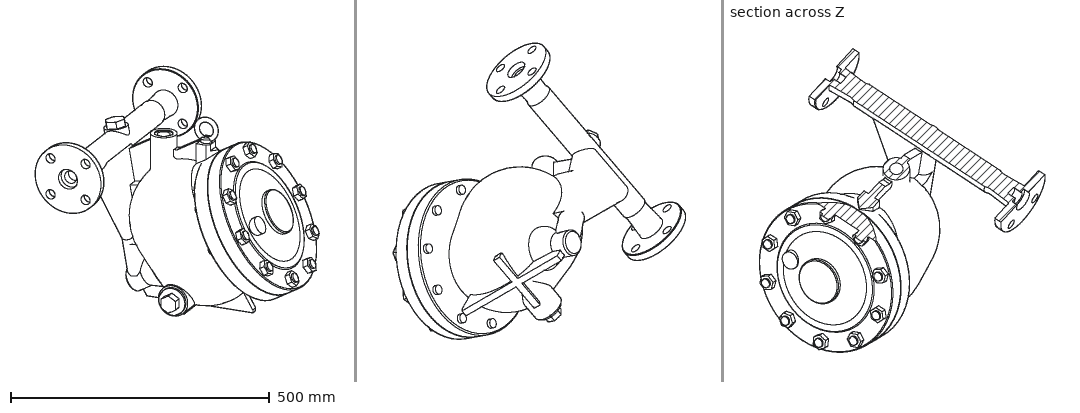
import cadquery as cq
import math


pipe_d = 52.0
pipe_half_length = 160.0
end_to_end = 470.0
pipe_flange_d = 140.0
pipe_flange_thickness = 16.0
pipe_flange_chamfer = 1.5
flange_bolt_circle = 105.0
flange_bolt_count = 4
first_hole_angle = 45.0
flange_bolt_hole_d = 19.0
socket_d = 40.0
socket_depth = 12.0
bore_d = 25.0
bore_depth = 30.0
weld_small_d = 47.5
weld_large_d = 53.0
weld_lip_d = 54.0
weld_lip_length = 4.0
weld_step_d = 50.0
weld_step_length = 6.0
weld_step_taper = 3.0

axis_tilt = 30.0
axis_origin = cq.Vector(180.6, 0, -186.3)
lower_height = 2.0
lower_offset = 9.5
lower_radius = 112.5
upper_radius = 121.0
center_distance = 67.3
body_lean = 2.5
neck_start = 45.0
neck_radius = 93.6
neck_stretch = 61.0
cover_d = 305.0
body_flange_start = 94.5
cover_seam = 128.3
cover_face = 160.2
cover_edge_chamfer = 2.0
body_flange_chamfer = 3.0
neck_fillet = 12.0
seam_groove = 0.8
tolerance = 0.1
raised_ring_r = 111.0
raised_ring_height = 2.5
dome_r = 95.0
dome_height = 20.0
center_boss_d = 90.0
center_boss_top = 187.0
center_boss_chamfer = 2.0
side_boss_d = 35.0
side_boss_y = -75.0
side_boss_top = 178.5

cover_bolt_count = 10
cover_bolt_circle = 265.0
stud_d = 18.0
stud_end_front = 14.54
stud_end_back = 7.0
nut_across_flats = 27.0
nut_height = 11.0

drop_tilt = 10.0
drop_d = 49.0
drop_length = 270.0
plug_boss_length = 28.0
plug_boss_d = 48.0
plug_flats = 36.0
plug_length = 42.0
plug_chamfer = 1.5
elbow_start = -179.0
elbow_d = 50.0
elbow_chamfer = 3.5
flare_start = -142.0
flare_end = -100.0
flare_end_d = 90.0
arm_width = 104.0
arm_top = 9.0
arm_bottom = 196.0
arm_edge_radius = 21.0

port_x = 96.4
port_d = 52.0
port_top = 29.2
port_recess_d = 36.0
port_recess_depth = 2.0
port_bore_depth = 60.0
port_root = -80.0
port_fillet = 6.0

rib_thickness = 16.0
rib_root = -90.0
right_rib_low = 2.0
right_rib_foot = 128.0
pad_top = 82.0
pad_bottom = 205.0
pad_shoulder = 30.0
pad_reach = 60.0
pad_width = 62.0
lug_x = 174.0
lug_length = 27.0
lug_width = 38.0
lug_top = 26.0
lug_root = -60.0
lug_corner = 6.5
lug_tip_drop = 13.0
eye_x = 187.0
eye_ring_radius = 20.0
eye_wire_d = 10.0
eye_center_z = 51.0
eye_collar_d = 22.0
eye_collar_height = 10.0
eye_collar_chamfer = 3.0

drain_x = 163.6
drain_z = -271.0
drain_d = 62.5
drain_end = 104.7
drain_ring_d = 55.0
drain_ring_end = 110.0
drain_plug_flats = 31.0
drain_plug_end = 127.0
foot_bottom = -310.0
foot_left = 63.5
foot_right = 288.5
foot_web = 14.0
foot_cross_half = 68.3
foot_cross_half_top = 62.5
foot_cross_height = 22.0
foot_inside_height = 60.0
foot_right_edge = 6.0
foot_right_set_in = 32.0
foot_left_set_in = 50.0
foot_left_edge = 14.0
foot_left_overhang = 8.0


def vector_at(angle):
    """Unit vector in the XZ plane, raised by an angle from +X."""
    return cq.Vector(math.cos(math.radians(angle)), 0, math.sin(math.radians(angle)))


axis_dir = vector_at(axis_tilt)
down_dir = vector_at(axis_tilt - 90)
back_face = cq.selectors.DirectionMinMaxSelector(axis_dir, False)
lower_center = axis_origin + axis_dir * lower_height + down_dir * lower_offset


def body_plane(distance):
    """Plane across the body axis: local X points down the cover, local Y is +Y."""
    return cq.Workplane(cq.Plane(axis_origin + axis_dir * distance, down_dir, axis_dir))


def rod(diameter, start, direction, length):
    return cq.Workplane(cq.Solid.makeCylinder(diameter / 2, length, start, direction))


def xz_slab(points, thickness):
    """Plate of an XZ outline, centred on the Y = 0 plane."""
    return cq.Workplane("XZ").polyline(points).close().extrude(thickness / 2, both=True)


def hexagon_d(across_flats):
    return across_flats / math.cos(math.radians(30))


def make_body():
    """Two spheres joined by the cone that is tangent to both."""
    lean_angle = axis_tilt + 90 - body_lean
    cone_angle = math.asin((upper_radius - lower_radius) / center_distance)

    def on_sphere(radius, height, angle):
        return (radius * math.cos(angle), height + radius * math.sin(angle))

    quarter = math.pi / 4
    return (
        cq.Workplane(cq.Plane(lower_center, vector_at(lean_angle - 90), (0, -1, 0)))
        .moveTo(0, -lower_radius)
        .threePointArc(
            on_sphere(lower_radius, 0, -quarter),
            on_sphere(lower_radius, 0, -cone_angle),
        )
        .lineTo(*on_sphere(upper_radius, center_distance, -cone_angle))
        .threePointArc(
            on_sphere(upper_radius, center_distance, quarter),
            (0, center_distance + upper_radius),
        )
        .close()
        .revolve(360, (0, 0, 0), (0, 1, 0))
    )


def make_neck_and_flange():
    """Body flange, and the slot-shaped neck that joins it to the stretched body."""
    flange = body_plane(body_flange_start).circle(cover_d / 2).extrude(cover_seam - body_flange_start)
    flange = flange.faces(back_face).edges().chamfer(body_flange_chamfer)
    neck = (
        body_plane(neck_start)
        .center(-neck_stretch / 2, 0)
        .slot2D(neck_stretch + 2 * neck_radius, 2 * neck_radius)
        .extrude(cover_seam - neck_start)
    )
    envelope = body_plane(neck_start).circle(cover_d / 2).extrude(cover_seam - neck_start)
    joined = flange.union(neck.intersect(envelope))

    def is_neck_root(edge):
        height = (edge.Center() - axis_origin).dot(axis_dir)
        on_rim = edge.geomType() == "CIRCLE" and edge.radius() > neck_radius + tolerance
        return abs(height - body_flange_start) < tolerance and not on_rim

    return joined.newObject([e for e in joined.edges().vals() if is_neck_root(e)]).fillet(neck_fillet)


def make_cover():
    """Turned cover: rim, raised ring, domed middle and flat centre boss, plus a small side boss."""
    rim_r = cover_d / 2
    boss_r = center_boss_d / 2
    ring_top = cover_face + raised_ring_height
    dome_sphere_r = (dome_r ** 2 + dome_height ** 2) / (2 * dome_height)

    def dome_point(radius):
        drop = dome_sphere_r - math.sqrt(dome_sphere_r ** 2 - radius ** 2)
        return (radius, ring_top + dome_height - drop)

    cover = (
        cq.Workplane(cq.Plane(axis_origin, down_dir, (0, -1, 0)))
        .moveTo(0, cover_seam)
        .lineTo(rim_r - seam_groove, cover_seam)
        .lineTo(rim_r - seam_groove, cover_seam + seam_groove)
        .lineTo(rim_r, cover_seam + seam_groove)
        .lineTo(rim_r, cover_face - cover_edge_chamfer)
        .lineTo(rim_r - cover_edge_chamfer, cover_face)
        .lineTo(raised_ring_r, cover_face)
        .lineTo(raised_ring_r - raised_ring_height, ring_top)
        .lineTo(dome_r, ring_top)
        .threePointArc(dome_point((dome_r + boss_r) / 2), dome_point(boss_r))
        .lineTo(boss_r, center_boss_top - center_boss_chamfer)
        .lineTo(boss_r - center_boss_chamfer, center_boss_top)
        .lineTo(0, center_boss_top)
        .close()
        .revolve(360, (0, 0, 0), (0, 1, 0))
    )
    side_boss = body_plane(cover_face).center(0, side_boss_y).circle(side_boss_d / 2)
    return cover.union(side_boss.extrude(side_boss_top - cover_face))


def make_cover_bolts():
    first = 180 / cover_bolt_count
    studs_start = body_flange_start - stud_end_back
    studs_length = cover_face + stud_end_front - studs_start
    radius = cover_bolt_circle / 2
    studs = body_plane(studs_start).polarArray(radius, first, 360, cover_bolt_count)
    studs = studs.circle(stud_d / 2).extrude(studs_length)
    nuts = body_plane(cover_face).polarArray(radius, first, 360, cover_bolt_count)
    nuts = nuts.polygon(6, hexagon_d(nut_across_flats)).extrude(nut_height)
    return studs.union(nuts)


def make_pipe_end():
    """Flange and weld neck at the -Y end, revolved about the pipe axis."""
    end = end_to_end / 2
    flange_back = end - pipe_flange_thickness
    neck_wide = flange_back - weld_lip_length
    step_end = pipe_half_length + weld_step_taper
    neck_narrow = step_end + weld_step_length
    profile = [
        (0, -end),
        (pipe_flange_d / 2, -end),
        (pipe_flange_d / 2, -flange_back - pipe_flange_chamfer),
        (pipe_flange_d / 2 - pipe_flange_chamfer, -flange_back),
        (weld_lip_d / 2, -flange_back),
        (weld_large_d / 2, -neck_wide),
        (weld_small_d / 2, -neck_narrow),
        (weld_step_d / 2, -step_end),
        (pipe_d / 2, -pipe_half_length),
        (0, -pipe_half_length),
    ]
    pipe_end = cq.Workplane("XY").polyline(profile).close().revolve(360, (0, 0, 0), (0, 1, 0))
    face = cq.Workplane("XZ", origin=(0, -end, 0))
    holes = face.polarArray(flange_bolt_circle / 2, first_hole_angle, 360, flange_bolt_count)
    holes = holes.circle(flange_bolt_hole_d / 2).extrude(-pipe_flange_thickness)
    socket = face.circle(socket_d / 2).extrude(-socket_depth)
    bore = face.circle(bore_d / 2).extrude(-bore_depth)
    return pipe_end.cut(holes).cut(socket).cut(bore)


def make_horizontal_pipe():
    pipe = cq.Workplane("XZ").circle(pipe_d / 2).extrude(pipe_half_length, both=True)
    pipe_end = make_pipe_end()
    return pipe.union(pipe_end).union(pipe_end.mirror("XZ"))


def drop_plane(distance):
    """Plane across the drop pipe axis; local Y is +Y, positive distance is up."""
    up = vector_at(90 + drop_tilt)
    return cq.Workplane(cq.Plane(up * distance, vector_at(drop_tilt), up))


def make_drop_pipe():
    pipe = drop_plane(-drop_length).circle(drop_d / 2).extrude(drop_length)
    boss = drop_plane(0).circle(plug_boss_d / 2).extrude(plug_boss_length)
    plug = drop_plane(0).polygon(6, hexagon_d(plug_flats)).extrude(plug_length)
    cap = drop_plane(0).circle(hexagon_d(plug_flats) / 2).extrude(plug_length)
    cap = cap.faces(">Z").edges().chamfer(plug_chamfer)
    return pipe.union(boss).union(plug.intersect(cap))


def make_gusset_arm():
    """Thick triangular arm between the drop pipe and the -Y half of the pipe."""
    front_face = cq.Plane(vector_at(drop_tilt) * (-drop_d / 2), (0, 1, 0), -vector_at(drop_tilt))
    slope_angle = math.atan2(arm_width, arm_bottom - arm_top)
    overhang = arm_edge_radius / math.cos(slope_angle)
    top_corner = (-arm_width - overhang, arm_top)
    bottom_corner = (-overhang, arm_bottom)
    outline = [(0, arm_top), top_corner, bottom_corner, (0, arm_bottom)]
    arm = cq.Workplane(front_face).polyline(outline).close().extrude(-drop_d)
    slope = front_face.toWorldCoords(bottom_corner) - front_face.toWorldCoords(top_corner)
    return arm.edges(cq.selectors.ParallelDirSelector(slope)).fillet(arm_edge_radius)


def make_elbow():
    start = axis_origin + axis_dir * elbow_start + down_dir * lower_offset
    pipe = rod(elbow_d, start, axis_dir, -elbow_start)
    pipe = pipe.faces("<X").edges().chamfer(elbow_chamfer)
    flare_length = flare_end - flare_start
    flare_base = start + axis_dir * (flare_start - elbow_start)
    flare = cq.Solid.makeCone(elbow_d / 2, flare_end_d / 2, flare_length, flare_base, axis_dir)
    return pipe.union(cq.Workplane(flare))


def add_port(body):
    """Join the upright port to the body with a rounded root."""
    port = cq.Workplane("XY", origin=(port_x, 0, port_root)).circle(port_d / 2)
    joined = body.union(port.extrude(port_top - port_root))
    root_edges = cq.selectors.BoxSelector(
        (port_x - port_d / 2, -port_d / 2, port_root),
        (port_x + port_d / 2, port_d / 2, port_top - tolerance),
    )
    return joined.edges(root_edges).edges("not(#Z or |Z)").fillet(port_fillet)


def port_cut():
    top = cq.Workplane("XY", origin=(port_x, 0, port_top))
    recess = top.circle(port_recess_d / 2).extrude(-port_recess_depth)
    return recess.union(top.circle(bore_d / 2).extrude(-port_bore_depth))


def make_ribs():
    rise = math.tan(math.radians(axis_tilt))
    left_rib = xz_slab(
        [
            (0, port_top - port_x * rise),
            (port_x, port_top),
            (port_x, rib_root),
            (0, rib_root),
        ],
        rib_thickness,
    )
    right_rib = xz_slab(
        [
            (port_x, right_rib_low),
            (right_rib_foot, right_rib_low),
            (lug_x, right_rib_low + (lug_x - right_rib_foot) * rise),
            (lug_x, rib_root),
            (port_x, rib_root),
        ],
        rib_thickness,
    )
    return left_rib.union(right_rib)


def make_drop_pad():
    """Wide pad that ties the drop pipe to the body."""
    plan = [
        (0, -drop_d / 2),
        (pad_shoulder, -pad_width / 2),
        (pad_reach, -pad_width / 2),
        (pad_reach, pad_width / 2),
        (pad_shoulder, pad_width / 2),
        (0, drop_d / 2),
    ]
    return drop_plane(-pad_bottom).polyline(plan).close().extrude(pad_bottom - pad_top)


def make_lug():
    end = lug_x + lug_length
    half = lug_width / 2
    plan = [
        (lug_x, -half),
        (end - lug_corner, -half),
        (end, lug_corner - half),
        (end, half - lug_corner),
        (end - lug_corner, half),
        (lug_x, half),
    ]
    base = cq.Workplane("XY", origin=(0, 0, lug_root))
    block = base.polyline(plan).close().extrude(lug_top - lug_root)
    point = [(end, lug_corner - half), (end + half - lug_corner, 0), (end, half - lug_corner)]
    tip = base.polyline(point).close().extrude(lug_top - lug_tip_drop - lug_root)
    return block.union(tip)


def make_eye_bolt():
    ring = cq.Solid.makeTorus(
        eye_ring_radius, eye_wire_d / 2, cq.Vector(eye_x, 0, eye_center_z), cq.Vector(0, 1, 0)
    )
    collar = cq.Workplane("XY", origin=(eye_x, 0, lug_top)).circle(eye_collar_d / 2)
    collar = collar.extrude(eye_collar_height).faces(">Z").edges().chamfer(eye_collar_chamfer)
    return collar.union(cq.Workplane(ring))


def make_drain():
    side = cq.Workplane("XZ", origin=(drain_x, 0, drain_z))
    boss = side.circle(drain_d / 2).extrude(drain_end)
    ring = side.circle(drain_ring_d / 2).extrude(drain_ring_end)
    plug = side.transformed(rotate=(0, 0, 90)).polygon(6, hexagon_d(drain_plug_flats))
    plug = plug.extrude(drain_plug_end)
    return boss.union(ring).union(plug)


def make_foot():
    web = xz_slab(
        [
            (foot_left, foot_bottom),
            (foot_right, foot_bottom),
            (foot_right, foot_bottom + foot_right_edge),
            (foot_right - foot_right_set_in, foot_bottom + foot_inside_height),
            (foot_left + foot_left_set_in, foot_bottom + foot_inside_height),
            (foot_left - foot_left_overhang, foot_bottom + foot_left_edge),
        ],
        foot_web,
    )
    cross = (
        cq.Workplane("YZ", origin=(drain_x - foot_web / 2, 0, 0))
        .polyline(
            [
                (-foot_cross_half, foot_bottom),
                (foot_cross_half, foot_bottom),
                (foot_cross_half_top, foot_bottom + foot_cross_height),
                (0, foot_bottom + foot_inside_height),
                (-foot_cross_half_top, foot_bottom + foot_cross_height),
            ]
        )
        .close()
        .extrude(foot_web)
    )
    return web.union(cross)


result = add_port(make_body().union(make_neck_and_flange()))
for feature in (
    make_cover(),
    make_cover_bolts(),
    make_horizontal_pipe(),
    make_drop_pipe(),
    make_gusset_arm(),
    make_elbow(),
    make_ribs(),
    make_drop_pad(),
    make_lug(),
    make_eye_bolt(),
    make_drain(),
    make_foot(),
):
    result = result.union(feature)
result = result.cut(port_cut())